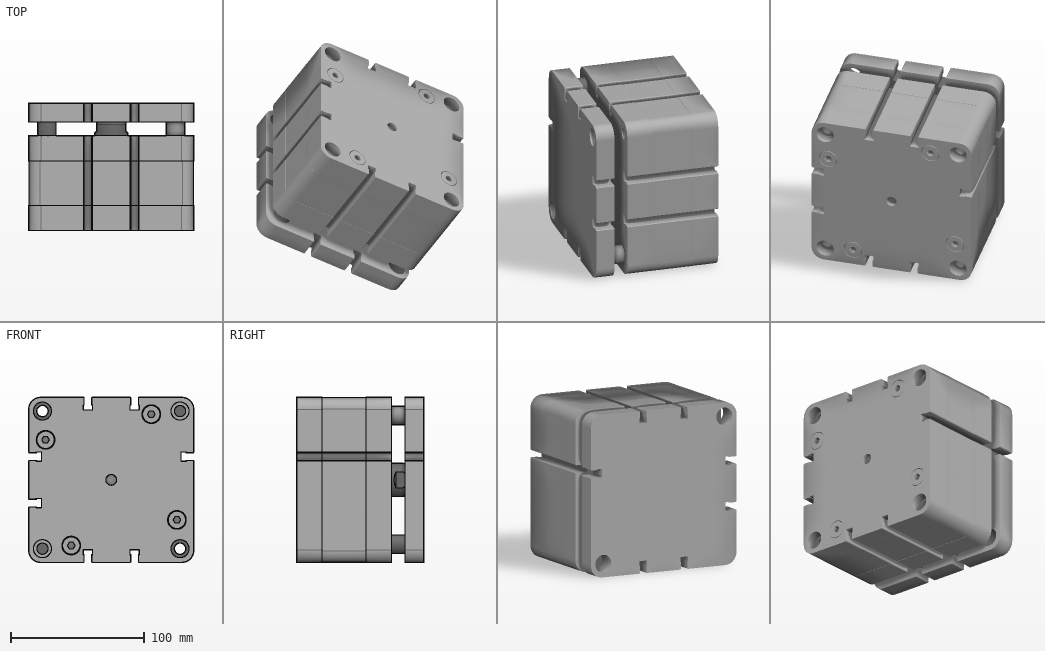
import cadquery as cq
import math

SIDE = 124.0
TUBE_INSET = 0.19
TUBE_SIDE = SIDE - 2 * TUBE_INSET
CAP_LENGTH = 19.0
TUBE_LENGTH = 33.2
GAP = 10.0
PLATE_THICKNESS = 14.3
CAP_CORNER_RADIUS = 9.4
TUBE_CORNER_RADIUS = 8.5

TUBE_START = CAP_LENGTH
REAR_CAP_START = TUBE_START + TUBE_LENGTH
BODY_END = REAR_CAP_START + CAP_LENGTH
PLATE_START = BODY_END + GAP
TOTAL_LENGTH = PLATE_START + PLATE_THICKNESS

SLOT_OFFSET = 17.5
SLOT_NECK_WIDTH = 5.6
SLOT_HEAD_WIDTH = 6.7
SLOT_DEPTH = 9.5
SLOT_NECK_DEPTH = 5.7
SLOT_LEAD_IN = 0.5

HOLE_OFFSET = 51.6
HOLE_DIAMETER = 8.4
HOLE_RECESS_DIAMETER = 13.5
HOLE_RECESS_DEPTH = 8.3

SCREW_NEAR_OFFSET = 30.0
SCREW_FAR_OFFSET = 49.2
SCREW_RECESS_DIAMETER = 14.0
SCREW_HEAD_DIAMETER = 13.0
SCREW_HEAD_LENGTH = 5.0
HEX_ACROSS_FLATS = 5.0
HEX_DEPTH = 4.0
HEX_ACROSS_CORNERS = 2 * HEX_ACROSS_FLATS / math.sqrt(3)

PORT_DIAMETER = 8.0
PORT_DEPTH = 4.0

ROD_DIAMETER = 25.0
ROD_WRENCH_WIDTH = 22.0
ROD_FLAT_LENGTH = 6.6
ROD_TIP_TAPER_LENGTH = 1.6
ROD_TIP_TAPER = 0.4
GUIDE_DIAMETER = 14.0
GUIDE_OFFSET = 48.2


def plane_at(y):
    """Sketch plane parallel to XZ with its normal along +Y; local x is -X, local y is +Z."""
    return cq.Workplane(cq.Plane(origin=(0, y, 0), xDir=(-1, 0, 0), normal=(0, 1, 0)))


def cylinder(x, z, diameter, start, length):
    return plane_at(start).center(-x, z).circle(diameter / 2).extrude(length)


def slot(side, start, length, offset, quarter_turns):
    """T-slot cutter for the top face of a block, turned about the Y axis to reach another face."""
    edge = side / 2
    neck = SLOT_NECK_WIDTH / 2
    head = SLOT_HEAD_WIDTH / 2
    right_half = [
        (neck + SLOT_LEAD_IN, edge),
        (neck, edge - SLOT_LEAD_IN),
        (neck, edge - SLOT_NECK_DEPTH),
        (head, edge - SLOT_NECK_DEPTH),
        (head, edge - SLOT_DEPTH),
    ]
    left_half = [(-x, z) for x, z in reversed(right_half)]
    cutter = plane_at(start).center(-offset, 0).polyline(right_half + left_half).close().extrude(length)
    return cutter.rotate((0, 0, 0), (0, 1, 0), 90 * quarter_turns)


def slotted_block(side, start, length, corner_radius):
    """Square block with rounded lengthwise edges and T-slots.

    The top, bottom and -X faces have a pair of slots, the +X face only the upper one.
    """
    body = plane_at(start).rect(side, side).extrude(length).edges("|Y").fillet(corner_radius)
    for quarter_turns in (0, 2, 3):
        for offset in (-SLOT_OFFSET, SLOT_OFFSET):
            body = body.cut(slot(side, start, length, offset, quarter_turns))
    return body.cut(slot(side, start, length, -SLOT_OFFSET, 1))


def screw_cutter(x, z):
    """Ring-shaped clearance around a flush screw head, plus its hex socket."""
    face = plane_at(0).center(-x, z)
    ring = face.circle(SCREW_RECESS_DIAMETER / 2).circle(SCREW_HEAD_DIAMETER / 2).extrude(SCREW_HEAD_LENGTH)
    socket = face.polygon(6, HEX_ACROSS_CORNERS).extrude(HEX_DEPTH)
    return ring.union(socket)


def piston_rod():
    """Round rod with two wrench flats and a slight taper where it meets the plate."""
    radius = ROD_DIAMETER / 2
    flat = ROD_WRENCH_WIDTH / 2
    flat_end = PLATE_START - ROD_FLAT_LENGTH
    profile = [
        (0, BODY_END),
        (radius, BODY_END),
        (radius, PLATE_START - ROD_TIP_TAPER_LENGTH),
        (radius - ROD_TIP_TAPER, PLATE_START),
        (0, PLATE_START),
    ]
    rod = cq.Workplane("XY").polyline(profile).close().revolve(360, (0, 0, 0), (0, 1, 0))
    flat_cutter = (
        cq.Workplane("XY")
        .polyline([
            (flat, PLATE_START),
            (flat, flat_end),
            (radius, flat_end - (radius - flat)),
            (radius, PLATE_START),
        ])
        .close()
        .extrude(radius, both=True)
    )
    return rod.cut(flat_cutter).cut(flat_cutter.mirror("YZ"))


result = slotted_block(SIDE, 0, CAP_LENGTH, CAP_CORNER_RADIUS)
result = result.union(slotted_block(TUBE_SIDE, TUBE_START, TUBE_LENGTH, TUBE_CORNER_RADIUS))
result = result.union(slotted_block(SIDE, REAR_CAP_START, CAP_LENGTH, CAP_CORNER_RADIUS))
result = result.union(slotted_block(SIDE, PLATE_START, PLATE_THICKNESS, CAP_CORNER_RADIUS))

result = result.union(piston_rod())
for side in (-1, 1):
    guide = cylinder(side * GUIDE_OFFSET, side * GUIDE_OFFSET, GUIDE_DIAMETER, BODY_END, GAP)
    result = result.union(guide)

for x_side in (-1, 1):
    for z_side in (-1, 1):
        x = x_side * HOLE_OFFSET
        z = z_side * HOLE_OFFSET
        in_front_of_guide = x_side == z_side
        hole_depth = REAR_CAP_START if in_front_of_guide else BODY_END
        result = result.cut(cylinder(x, z, HOLE_DIAMETER, 0, hole_depth))
        result = result.cut(cylinder(x, z, HOLE_RECESS_DIAMETER, 0, HOLE_RECESS_DEPTH))
        if not in_front_of_guide:
            result = result.cut(cylinder(x, z, HOLE_RECESS_DIAMETER, PLATE_START, PLATE_THICKNESS))

screw_x, screw_z = SCREW_NEAR_OFFSET, SCREW_FAR_OFFSET
for _ in range(4):
    result = result.cut(screw_cutter(screw_x, screw_z))
    screw_x, screw_z = screw_z, -screw_x
result = result.cut(cylinder(0, 0, PORT_DIAMETER, 0, PORT_DEPTH))

result = result.translate((0, -TOTAL_LENGTH / 2, 0))